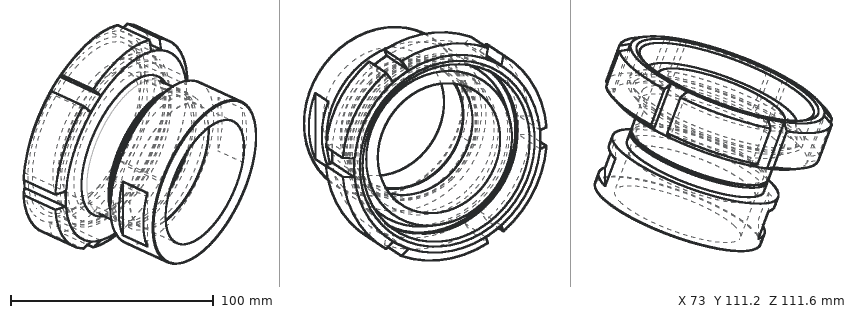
import cadquery as cq
import math

total_length = 73.0

nut_diameter = 111.6
nut_length = 25.2
nut_chamfer_length = 2.9
nut_chamfer_height = 5.0
nut_bore_diameter = 91.2
nut_mouth_diameter = 95.4
nut_mouth_chamfer_length = 1.2
undercut_diameter = 91.8
undercut_start_x = 15.8
nut_shoulder_x = 18.4
slot_count = 6
slot_width = 9.7
slot_floor_distance = 50.8

liner_front_x = 9.4
liner_tip_diameter = 79.5
flange_diameter = 85.8
flange_length = 2.2
collar_diameter = 75.2
neck_diameter = 72.0
neck_start_x = 27.3
liner_bore_diameter = 66.7

joint_x = 41.0
groove_depth = 0.9
liner_groove_width = 0.6
fitting_groove_width = 0.9

fitting_diameter = 87.0
fitting_collar_x = 47.0
fitting_edge_chamfer = 0.3
fitting_bore_diameter = 66.0
bore_step_x = 51.3
flat_start_x = 52.1
flat_length = 14.8
flat_spacing = 80.0

nut_radius = nut_diameter / 2
nut_face_radius = nut_radius - nut_chamfer_height
nut_bore_radius = nut_bore_diameter / 2
undercut_radius = undercut_diameter / 2
nut_mouth_radius = nut_mouth_diameter / 2
flange_radius = flange_diameter / 2
flange_back_x = nut_shoulder_x + flange_length
collar_radius = collar_diameter / 2
neck_radius = neck_diameter / 2
groove_radius = neck_radius - groove_depth
liner_bore_radius = liner_bore_diameter / 2
fitting_radius = fitting_diameter / 2
fitting_bore_radius = fitting_bore_diameter / 2


def revolve_about_x(profile):
    """Turn an open (x, radius) outline into a solid of revolution about X."""
    return profile.close().revolve(360, (0, 0, 0), (1, 0, 0))


def make_slot_cutter(angle):
    """Block that cuts one flat-floored slot through the nut rim."""
    slot_depth = nut_radius - slot_floor_distance
    cutter_height = 2 * slot_depth
    block = cq.Workplane("XY").box(
        nut_length, cutter_height, slot_width, centered=(False, False, True)
    )
    return block.translate((0, slot_floor_distance, 0)).rotate((0, 0, 0), (1, 0, 0), angle)


def make_nut():
    nut = revolve_about_x(
        cq.Workplane("XY").polyline([
            (0, nut_mouth_radius),
            (0, nut_face_radius),
            (nut_chamfer_length, nut_radius),
            (nut_length - nut_chamfer_length, nut_radius),
            (nut_length, nut_face_radius),
            (nut_length, collar_radius),
            (flange_back_x, collar_radius),
            (flange_back_x, flange_radius),
            (nut_shoulder_x, flange_radius),
            (nut_shoulder_x, undercut_radius),
            (undercut_start_x, undercut_radius),
            (undercut_start_x, nut_bore_radius),
            (nut_mouth_chamfer_length, nut_bore_radius),
        ])
    )
    for index in range(slot_count):
        nut = nut.cut(make_slot_cutter(index * 360 / slot_count))
    return nut


def make_liner():
    fillet_length = neck_start_x - nut_length
    fillet_height = collar_radius - neck_radius
    fillet_radius = (fillet_length**2 + fillet_height**2) / (2 * fillet_height)
    half_angle = math.asin(fillet_length / fillet_radius) / 2
    fillet_middle = (
        neck_start_x - fillet_radius * math.sin(half_angle),
        neck_radius + fillet_radius * (1 - math.cos(half_angle)),
    )
    return revolve_about_x(
        cq.Workplane("XY")
        .moveTo(liner_front_x, liner_bore_radius)
        .lineTo(liner_front_x, liner_tip_diameter / 2)
        .lineTo(nut_shoulder_x, flange_radius)
        .lineTo(flange_back_x, flange_radius)
        .lineTo(flange_back_x, collar_radius)
        .lineTo(nut_length, collar_radius)
        .threePointArc(fillet_middle, (neck_start_x, neck_radius))
        .lineTo(joint_x - liner_groove_width, neck_radius)
        .lineTo(joint_x, groove_radius)
        .lineTo(joint_x, liner_bore_radius)
    )


def make_end_fitting():
    fitting = revolve_about_x(
        cq.Workplane("XY").polyline([
            (joint_x, liner_bore_radius),
            (joint_x, groove_radius),
            (joint_x + fitting_groove_width, neck_radius),
            (fitting_collar_x, neck_radius),
            (fitting_collar_x, fitting_radius),
            (total_length - fitting_edge_chamfer, fitting_radius),
            (total_length, fitting_radius - fitting_edge_chamfer),
            (total_length, fitting_bore_radius),
            (bore_step_x, fitting_bore_radius),
            (bore_step_x, liner_bore_radius),
        ])
    )
    flat_cutter = cq.Workplane("XY").box(
        flat_length, fitting_radius, fitting_diameter, centered=(False, False, True)
    ).translate((flat_start_x, flat_spacing / 2, 0))
    return fitting.cut(flat_cutter).cut(flat_cutter.mirror("XZ"))


nut = make_nut()
liner = make_liner()
end_fitting = make_end_fitting()

result = cq.Compound.makeCompound([nut.val(), liner.val(), end_fitting.val()])